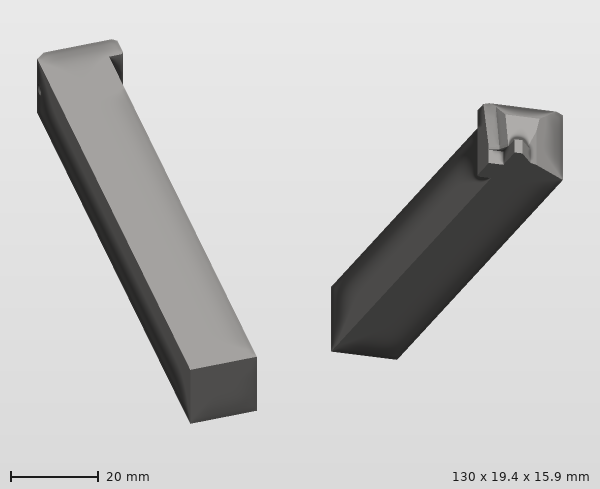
import cadquery as cq

length = 130.0
shank_width = 15.9
height = 15.9

head_width = 19.4
head_end_x = 16.8
head_corner_radius = 0.9
nose_x = 4.7
nose_front_y = 11.0
facet_x, facet_y = 5.7, 8.7
bevel_end_x = 12.6
shoulder_x, shoulder_y = 7.0, 17.2
flank_x = 8.0

clearance_start_z = 3.9
clearance_lean = 0.24
flank_top_x = 11.8
ramp_bottom_x, ramp_bottom_z = 6.6, 11.8
ramp_top_x = 10.9

tip_height = 3.2
tip_front_y = 14.0
tip_root_x, tip_root_y = 6.0, 9.6

hole_x, hole_z = 14.3, 8.0
hole_diameter = 2.6
hole_depth = 0.5
socket_diameter = 1.2
socket_depth = 1.0


def head_leading_walls(shift, flank_corner_x):
    """Corners of the head walls above the nose, shifted along X to the given flank corner."""
    return [
        (nose_x + shift, shank_width),
        (shoulder_x + shift, shoulder_y),
        (flank_corner_x, head_width),
    ]


def make_body():
    """Full-height plan of the shank and head, with vertical walls."""
    outline = [
        (bevel_end_x, 0),
        (length, 0),
        (length, shank_width),
        (head_end_x, shank_width),
        (head_end_x, head_width),
        *reversed(head_leading_walls(0, flank_x)),
        (nose_x, nose_front_y),
        (facet_x, facet_y),
    ]
    body = cq.Workplane("XY").polyline(outline).close().extrude(height)
    corner = cq.selectors.NearestToPointSelector((head_end_x, head_width, height / 2))
    return body.edges("|Z").edges(corner).fillet(head_corner_radius)


def make_clearance_envelope():
    """Block whose leading walls lean back above the cutting tip."""
    rise = height - clearance_start_z

    def section(shift, flank_corner_x):
        return [
            (nose_x + shift, 0),
            *head_leading_walls(shift, flank_corner_x),
            (length, head_width),
            (length, 0),
        ]

    lower = cq.Workplane("XY").polyline(section(0, flank_x)).close().extrude(clearance_start_z)
    upper = (
        cq.Workplane("XY", origin=(0, 0, clearance_start_z))
        .polyline(section(0, flank_x)).close()
        .workplane(offset=rise)
        .polyline(section(rise * clearance_lean, flank_top_x)).close()
        .loft(ruled=True)
    )
    return lower.union(upper)


def make_ramp_cutter():
    """Wedge above the sloping top of the head, extended past its ends."""
    slope = (height - ramp_bottom_z) / (ramp_top_x - ramp_bottom_x)
    start_z = ramp_bottom_z - slope * ramp_bottom_x
    end_x = ramp_top_x + ramp_bottom_x
    end_z = start_z + slope * end_x
    return (
        cq.Workplane("XZ")
        .polyline([(0, start_z), (end_x, end_z), (0, end_z)]).close()
        .extrude(-head_width)
    )


def make_flank_relief():
    """Square step that sets the flank back beside the cutting tip."""
    origin = (0, shank_width, 0)
    relief_width = head_width - shank_width
    return cq.Workplane("XY", origin=origin).box(flank_x, relief_width, tip_height, centered=False)


def make_tip():
    """Flat, tapered cutting tip running into the head."""
    outline = [
        (0, tip_front_y),
        (0, shank_width),
        (tip_root_x, shank_width),
        (tip_root_x, tip_root_y),
    ]
    return cq.Workplane("XY").polyline(outline).close().extrude(tip_height)


def make_screw_hole():
    """Blind hole with a smaller, deeper socket at its centre."""
    face = cq.Workplane("XZ", origin=(hole_x, 0, hole_z))
    hole = face.circle(hole_diameter / 2).extrude(-hole_depth)
    return hole.union(face.circle(socket_diameter / 2).extrude(-socket_depth))


body = make_body().intersect(make_clearance_envelope())
body = body.cut(make_ramp_cutter()).cut(make_flank_relief())
result = body.union(make_tip()).cut(make_screw_hole())